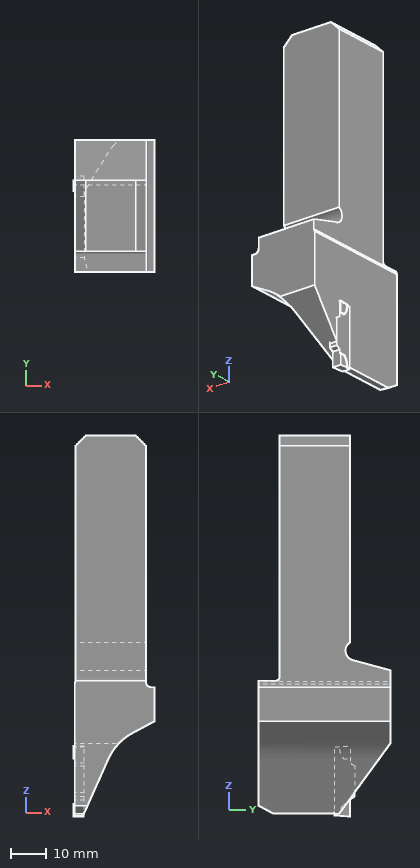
import cadquery as cq

total_height = 107.5
head_width = 37.3
head_depth = 22.6

shank_size = 20.0
shank_left = 0.2
shank_right = shank_left + shank_size
shank_front = 5.9
shank_back = shank_front + shank_size
top_chamfer = 3.0

face_step_top = 38.2
face_step_bottom = 37.5
rear_ledge_z = 36.5
rear_fillet = 1.3
rear_wall_bottom = 26.9
head_bottom = 0.9
toe_depth = 2.7
waist_x = 11.7
waist_z = 21.1
waist_radius = 15.0

front_ledge_z = 38.4
front_fillet = 0.9
toe_chamfer_y = 4.2
toe_chamfer_z = 3.1
back_wall_top = 41.3
back_wall_bottom = 20.7
relief_top = 49.1
relief_mid_y = 24.6
relief_mid_z = 46.5
relief_end_y = 27.0
relief_end_z = 44.1
back_slope_end_y = 22.8

insert_height = 20.0
insert_mid = insert_height / 2
insert_front = 21.4
insert_back = shank_back
insert_thickness = 2.6
end_clearance = 0.3
bulge_depth = 1.3
bulge_half = 4.3
bulge_root_half = 5.2
tip_rise = 0.3
tip_length = 3.7
tip_front_outer = 22.8
tip_front_inner = 24.1
tip_arc_y = 23.3
tip_arc_z = 2.6


def side_profile():
    """Holder outline across its thickness, extruded over the full width."""
    outline = (
        cq.Workplane("XZ")
        .moveTo(0, head_bottom)
        .lineTo(0, face_step_bottom)
        .lineTo(shank_left, face_step_top)
        .lineTo(shank_left, total_height - top_chamfer)
        .lineTo(shank_left + top_chamfer, total_height)
        .lineTo(shank_right - top_chamfer, total_height)
        .lineTo(shank_right, total_height - top_chamfer)
        .lineTo(shank_right, rear_ledge_z + rear_fillet)
        .radiusArc((shank_right + rear_fillet, rear_ledge_z), -rear_fillet)
        .lineTo(head_depth, rear_ledge_z)
        .lineTo(head_depth, rear_wall_bottom)
        .lineTo(waist_x, waist_z)
        .lineTo(toe_depth, head_bottom)
        .close()
    )
    body = outline.extrude(-head_width)
    waist_edge = cq.selectors.NearestToPointSelector((waist_x, head_width / 2, waist_z))
    return body.edges("|Y").edges(waist_edge).fillet(waist_radius)


def broad_profile():
    """Holder outline across its width, extruded over the full depth."""
    return (
        cq.Workplane("YZ")
        .moveTo(0, toe_chamfer_z)
        .lineTo(0, front_ledge_z)
        .lineTo(shank_front - front_fillet, front_ledge_z)
        .radiusArc((shank_front, front_ledge_z + front_fillet), -front_fillet)
        .lineTo(shank_front, total_height)
        .lineTo(shank_back, total_height)
        .lineTo(shank_back, relief_top)
        .threePointArc((relief_mid_y, relief_mid_z), (relief_end_y, relief_end_z))
        .lineTo(head_width, back_wall_top)
        .lineTo(head_width, back_wall_bottom)
        .lineTo(back_slope_end_y, head_bottom)
        .lineTo(toe_chamfer_y, head_bottom)
        .close()
        .extrude(head_depth)
    )


def make_tip():
    """Raised lower cutting tip, with a rounded front edge and a straight inner edge."""
    end_slope = end_clearance / (insert_back - insert_front)
    outer_z = end_slope * (insert_back - tip_front_outer)
    return (
        cq.Workplane("YZ")
        .moveTo(insert_back, 0)
        .lineTo(insert_back, tip_length)
        .lineTo(tip_front_inner, tip_length)
        .threePointArc((tip_arc_y, tip_arc_z), (tip_front_outer, outer_z))
        .close()
        .extrude(-tip_rise)
    )


def make_blade():
    """Flat insert body with a bulged back edge and relieved ends."""
    bulge_y = insert_back + bulge_depth
    return (
        cq.Workplane("YZ")
        .polyline([
            (insert_front, end_clearance),
            (insert_back, 0),
            (insert_back, insert_mid - bulge_root_half),
            (bulge_y, insert_mid - bulge_half),
            (bulge_y, insert_mid + bulge_half),
            (insert_back, insert_mid + bulge_root_half),
            (insert_back, insert_height),
            (insert_front, insert_height - end_clearance),
        ])
        .close()
        .extrude(insert_thickness)
    )


holder = side_profile().intersect(broad_profile())
blade = make_blade()
lower_tip = make_tip()
upper_tip = lower_tip.mirror("XY", (0, 0, insert_mid))
insert = blade.union(lower_tip).union(upper_tip)
holder = holder.cut(insert)
result = cq.Compound.makeCompound([holder.val(), insert.val()])